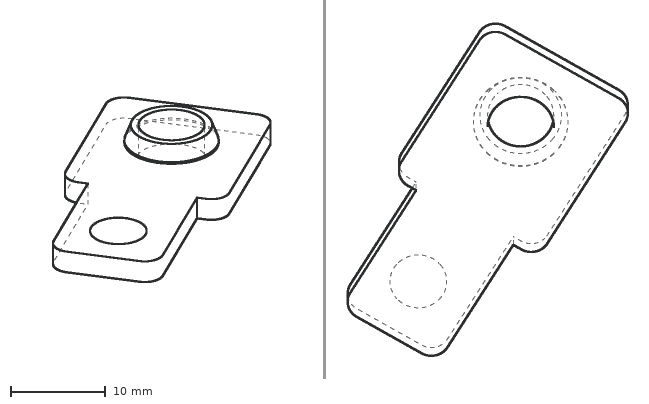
import cadquery as cq

total_length = 35.5
head_width = 18.0
head_length = 20.0
tab_width = 12.0
plate_thickness = 2.5
corner_radius = 2.0

total_height = 4.5
boss_base_diameter = 10.0
boss_top_diameter = 8.63
boss_lip_height = 0.2
boss_to_head_end = 8.5

bore_diameter = 7.0
bore_rounding_radius = 1.0

dome_diameter = 6.0
dome_height = 0.8
dome_flat_diameter = 0.6
dome_to_tab_end = 6.0

head_end_y = boss_to_head_end
shoulder_y = head_end_y - head_length
tab_end_y = head_end_y - total_length
dome_y = tab_end_y + dome_to_tab_end


def revolve_about_z(profile):
    """Revolve a closed XZ profile a full turn about the Z axis."""
    return profile.close().revolve(360, (0, 0, 0), (0, 1, 0))


def make_plate():
    """Wide rounded head with a narrower tab rounded at its free end."""
    head = (
        cq.Workplane("XY")
        .center(0, (head_end_y + shoulder_y) / 2)
        .rect(head_width, head_length)
        .extrude(plate_thickness)
        .edges("|Z")
        .fillet(corner_radius)
    )
    tab = (
        cq.Workplane("XY")
        .center(0, tab_end_y / 2)
        .rect(tab_width, -tab_end_y)
        .extrude(plate_thickness)
        .edges("|Z and <Y")
        .fillet(corner_radius)
    )
    return head.union(tab)


def make_boss():
    """Tapered collar standing on a short straight lip."""
    base_radius = boss_base_diameter / 2
    return revolve_about_z(
        cq.Workplane("XZ")
        .moveTo(0, plate_thickness)
        .lineTo(base_radius, plate_thickness)
        .lineTo(base_radius, plate_thickness + boss_lip_height)
        .lineTo(boss_top_diameter / 2, total_height)
        .lineTo(0, total_height)
    )


def make_bore():
    """Through bore with a rounded edge at the underside."""
    bore_radius = bore_diameter / 2
    return revolve_about_z(
        cq.Workplane("XZ")
        .lineTo(bore_radius + bore_rounding_radius, 0)
        .radiusArc((bore_radius, bore_rounding_radius), bore_rounding_radius)
        .lineTo(bore_radius, total_height)
        .lineTo(0, total_height)
    )


def make_dome():
    """Shallow spherical button with a tiny flat at its crown."""
    rim_radius = dome_diameter / 2
    flat_radius = dome_flat_diameter / 2
    crown_z = plate_thickness + dome_height
    dome = revolve_about_z(
        cq.Workplane("XZ")
        .moveTo(0, plate_thickness)
        .lineTo(0, crown_z)
        .lineTo(flat_radius, crown_z)
        .tangentArcPoint((rim_radius, plate_thickness), relative=False)
        .lineTo(0, plate_thickness)
    )
    return dome.translate((0, dome_y, 0))


result = make_plate().union(make_boss()).union(make_dome()).cut(make_bore())